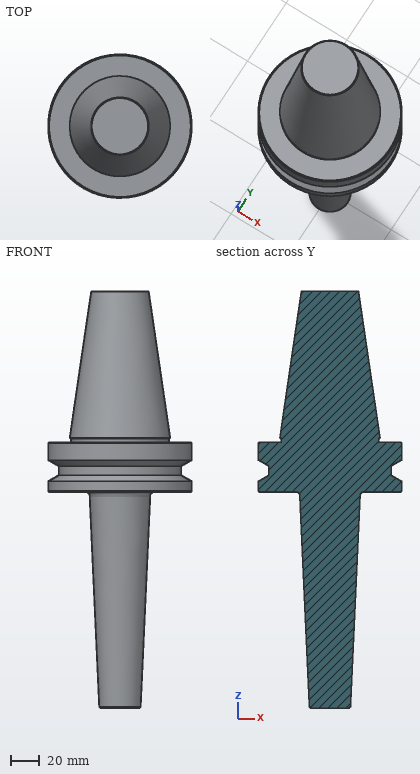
import cadquery as cq
import math

total_length = 289.8
taper_length = 101.7
nose_z = taper_length - total_length

gauge_radius = 34.92
taper_ratio = 7 / 24
taper_tip_radius = gauge_radius - taper_length * taper_ratio / 2
tip_chamfer = 0.5

neck_radius = 34.2
neck_step = 1.0

flange_radius = 50.0
flange_top_z = -3.2
flange_bottom_z = -38.0
flange_chamfer = 1.0
groove_floor_radius = 42.5
groove_top_z = -15.6
groove_bottom_z = -30.5
groove_wall_angle = 30.0
groove_wall_height = (flange_radius - groove_floor_radius) * math.tan(math.radians(groove_wall_angle))

shank_root_radius = 21.2
shank_nose_radius = 14.5
root_fillet = 2.3
nose_chamfer = 1.2

shank_root_z = flange_bottom_z - root_fillet
profile = (
    cq.Workplane("XZ")
    .moveTo(0, taper_length)
    .lineTo(taper_tip_radius - tip_chamfer, taper_length)
    .lineTo(taper_tip_radius, taper_length - tip_chamfer)
    .lineTo(gauge_radius, 0)
    .lineTo(neck_radius, -neck_step)
    .lineTo(neck_radius, flange_top_z)
    .lineTo(flange_radius - flange_chamfer, flange_top_z)
    .lineTo(flange_radius, flange_top_z - flange_chamfer)
    .lineTo(flange_radius, groove_top_z)
    .lineTo(groove_floor_radius, groove_top_z - groove_wall_height)
    .lineTo(groove_floor_radius, groove_bottom_z + groove_wall_height)
    .lineTo(flange_radius, groove_bottom_z)
    .lineTo(flange_radius, flange_bottom_z + flange_chamfer)
    .lineTo(flange_radius - flange_chamfer, flange_bottom_z)
    .lineTo(shank_root_radius + root_fillet, flange_bottom_z)
    .radiusArc((shank_root_radius, shank_root_z), -root_fillet)
    .lineTo(shank_nose_radius, nose_z + nose_chamfer)
    .lineTo(shank_nose_radius - nose_chamfer, nose_z)
    .lineTo(0, nose_z)
    .close()
)

result = profile.revolve(360, (0, 0, 0), (0, 1, 0))